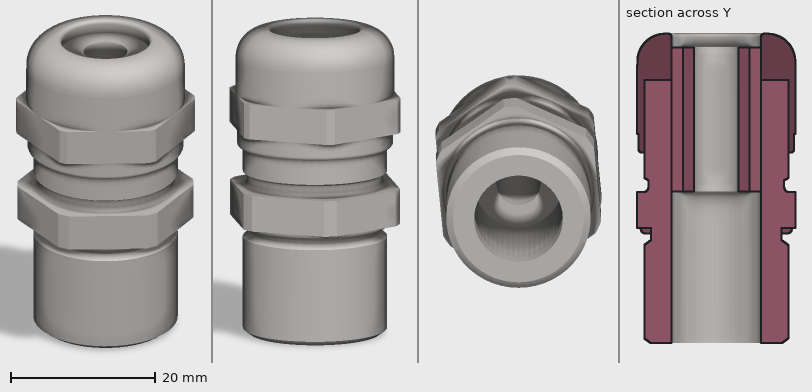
import cadquery as cq
import math


height = 43.0
across_flats = 22.0

thread_radius = 10.0
lower_neck_radius = 9.07
upper_neck_radius = 9.45
thread_chamfer = 0.7
thread_top_z = 14.35
body_hex_z = 16.0
body_hex_height = 5.05
body_hex_corner_radius = 12.2
neck_fillet = 0.65
upper_thread_z = 22.6
upper_thread_chamfer = 0.3
body_top_z = 36.55
body_hex_top_z = body_hex_z + body_hex_height

gasket_radius = 10.55
gasket_bottom_z = 15.22
gasket_round = 0.75

cap_radius = across_flats / 2
cap_skirt_radius = 10.85
cap_bottom_z = 26.45
cap_bottom_round = 0.5
cap_hex_z = 29.02
cap_hex_height = 4.9
cap_hex_corner_radius = 12.4
cap_rim_radius = 7.05
cap_dome_round = cap_radius - cap_rim_radius
bore_radius = 6.15
cap_mouth_round = 0.55

seal_top_z = 41.1
seal_bottom_z = body_hex_top_z
inner_seal_radius = 4.6
cable_hole_radius = 3.05


def cylinder(radius, bottom_z, top_z):
    """Solid cylinder on the Z axis."""
    return cq.Workplane("XY").workplane(offset=bottom_z).circle(radius).extrude(top_z - bottom_z)


def tube(outer_radius, inner_radius, bottom_z, top_z):
    """Plain ring on the Z axis."""
    return cylinder(outer_radius, bottom_z, top_z).cut(cylinder(inner_radius, bottom_z, top_z))


def rounded_hexagon(corner_radius, bottom_z, hex_height):
    """Hexagonal prism with flats facing +X and -X and its corners turned down to a cylinder."""
    across_corners = across_flats / math.cos(math.radians(30))
    prism = (
        cq.Workplane("XY")
        .workplane(offset=bottom_z)
        .transformed(rotate=(0, 0, 30))
        .polygon(6, across_corners)
        .extrude(hex_height)
    )
    return prism.intersect(cylinder(corner_radius, bottom_z, bottom_z + hex_height))


def revolve_half_section(section):
    """Turn a closed half section, drawn as radius and height, about the Z axis."""
    return section.close().revolve(360, (0, 0, 0), (0, 1, 0))


def make_body():
    """Threaded body: lower thread, hexagon and the upper thread that enters the cap nut."""
    fillet_end_radius = upper_neck_radius + neck_fillet
    turned = revolve_half_section(
        cq.Workplane("XZ")
        .moveTo(bore_radius, 0)
        .lineTo(lower_neck_radius, 0)
        .lineTo(thread_radius, thread_chamfer)
        .lineTo(thread_radius, thread_top_z - thread_chamfer)
        .lineTo(lower_neck_radius, thread_top_z)
        .lineTo(lower_neck_radius, body_hex_z)
        .lineTo(fillet_end_radius, body_hex_z)
        .lineTo(fillet_end_radius, body_hex_top_z)
        .radiusArc((upper_neck_radius, body_hex_top_z + neck_fillet), neck_fillet)
        .lineTo(upper_neck_radius, upper_thread_z)
        .lineTo(thread_radius, upper_thread_z + upper_thread_chamfer)
        .lineTo(thread_radius, body_top_z)
        .lineTo(bore_radius, body_top_z)
    )
    hexagon = rounded_hexagon(body_hex_corner_radius, body_hex_z, body_hex_height)
    hexagon = hexagon.cut(cylinder(bore_radius, body_hex_z, body_hex_top_z))
    return turned.union(hexagon)


def make_gasket():
    """Flat ring around the lower neck with a rounded lower outer edge."""
    ring = tube(gasket_radius, lower_neck_radius, gasket_bottom_z, body_hex_z)
    outer_edge = ring.faces("<Z").edges(cq.selectors.RadiusNthSelector(-1))
    return outer_edge.fillet(gasket_round)


def make_cap_nut():
    """Domed nut with a hexagon, screwed over the upper thread of the body."""
    skirt = cylinder(cap_skirt_radius, cap_bottom_z, cap_hex_z).faces("<Z").edges().fillet(cap_bottom_round)
    dome = cylinder(cap_radius, cap_hex_z, height).faces(">Z").edges().fillet(cap_dome_round)
    hexagon = rounded_hexagon(cap_hex_corner_radius, cap_hex_z, cap_hex_height)
    nut = skirt.union(dome).union(hexagon)
    nut = nut.cut(cylinder(thread_radius, cap_bottom_z, body_top_z))
    nut = nut.cut(cylinder(bore_radius, body_top_z, height))
    mouth_edge = nut.faces(">Z").edges(cq.selectors.RadiusNthSelector(0))
    return mouth_edge.fillet(cap_mouth_round)


body = make_body()
gasket = make_gasket()
cap_nut = make_cap_nut()
outer_seal = tube(bore_radius, inner_seal_radius, seal_bottom_z, seal_top_z)
inner_seal = tube(inner_seal_radius, cable_hole_radius, seal_bottom_z, seal_top_z)

result = cq.Compound.makeCompound(
    [body.val(), gasket.val(), cap_nut.val(), outer_seal.val(), inner_seal.val()]
)